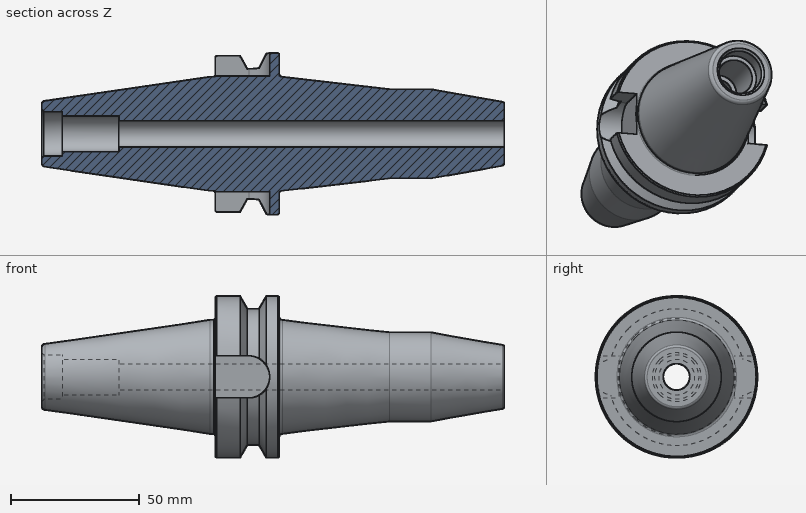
import cadquery as cq
import math

TOTAL_LENGTH = 179.8

TAPER_LENGTH = 65.4
GAUGE_DIAMETER = 44.45
TAPER_RATIO = 7 / 24
TAPER_END_ROUND = 1.5

FLANGE_DIAMETER = 63.0
FLANGE_GAP = 2.0
FLANGE_END_OFFSET = 27.0
FLANGE_END = TAPER_LENGTH + FLANGE_END_OFFSET
FLANGE_START = TAPER_LENGTH + FLANGE_GAP
FLANGE_CHAMFER = 0.6
GROOVE_CENTRE_OFFSET = 16.8
GROOVE_CENTRE = TAPER_LENGTH + GROOVE_CENTRE_OFFSET
GROOVE_MOUTH_WIDTH = 10.2
GROOVE_FLOOR_DIAMETER = 53.2
GROOVE_FLANK_ANGLE = 30.0
TAPER_SIDE_FILLET = 0.6
NOSE_SIDE_FILLET = 1.0

SLOT_WIDTH = 16.4
SLOT_FLOOR_OFFSET = 22.5
SLOT_LENGTH = 21.2

NOSE_ROOT_DIAMETER = 44.45
NOSE_DIAMETER = 34.8
NOSE_CYLINDER_START = 135.1
NOSE_CYLINDER_END = 151.1
NOSE_END_DIAMETER = 24.7
NOSE_END_ROUND = 1.0

THROUGH_DIAMETER = 10.16
THREAD_DIAMETER = 13.84
THREAD_DEPTH = 30.0
COUNTERBORE_DIAMETER = 17.15
COUNTERBORE_DEPTH = 8.0
MOUTH_DIAMETER = 19.0
MOUTH_ANGLE = 45.0


def make_body():
    """Revolve the outer profile: taper, flange with groove, and nose."""
    gauge_radius = GAUGE_DIAMETER / 2
    small_radius = gauge_radius - TAPER_LENGTH * TAPER_RATIO / 2
    flange_radius = FLANGE_DIAMETER / 2
    rim_radius = flange_radius - FLANGE_CHAMFER
    groove_radius = GROOVE_FLOOR_DIAMETER / 2
    mouth_half = GROOVE_MOUTH_WIDTH / 2
    flank_run = (flange_radius - groove_radius) * math.tan(math.radians(GROOVE_FLANK_ANGLE))
    floor_half = mouth_half - flank_run
    nose_root_radius = NOSE_ROOT_DIAMETER / 2
    profile = (
        cq.Workplane("XY")
        .lineTo(0, small_radius)
        .lineTo(TAPER_LENGTH, gauge_radius)
        .lineTo(FLANGE_START - TAPER_SIDE_FILLET, gauge_radius)
        .radiusArc((FLANGE_START, gauge_radius + TAPER_SIDE_FILLET), -TAPER_SIDE_FILLET)
        .lineTo(FLANGE_START, rim_radius)
        .lineTo(FLANGE_START + FLANGE_CHAMFER, flange_radius)
        .lineTo(GROOVE_CENTRE - mouth_half, flange_radius)
        .lineTo(GROOVE_CENTRE - floor_half, groove_radius)
        .lineTo(GROOVE_CENTRE + floor_half, groove_radius)
        .lineTo(GROOVE_CENTRE + mouth_half, flange_radius)
        .lineTo(FLANGE_END - FLANGE_CHAMFER, flange_radius)
        .lineTo(FLANGE_END, rim_radius)
        .lineTo(FLANGE_END, nose_root_radius + NOSE_SIDE_FILLET)
        .radiusArc((FLANGE_END + NOSE_SIDE_FILLET, nose_root_radius), -NOSE_SIDE_FILLET)
        .lineTo(NOSE_CYLINDER_START, NOSE_DIAMETER / 2)
        .lineTo(NOSE_CYLINDER_END, NOSE_DIAMETER / 2)
        .lineTo(TOTAL_LENGTH, NOSE_END_DIAMETER / 2)
        .lineTo(TOTAL_LENGTH, 0)
        .close()
    )
    body = profile.revolve(360, (0, 0, 0), (1, 0, 0))
    body = body.faces("<X").edges().fillet(TAPER_END_ROUND)
    return body.faces(">X").edges().fillet(NOSE_END_ROUND)


def make_drive_slots():
    """Two flat-floored cutters, open at the taper side and round at the other end."""
    slot_radius = SLOT_WIDTH / 2
    straight_length = SLOT_LENGTH - slot_radius
    arc_start_x = FLANGE_START + straight_length
    outline = (
        cq.Workplane("XZ")
        .moveTo(FLANGE_START, -slot_radius)
        .lineTo(arc_start_x, -slot_radius)
        .threePointArc((FLANGE_START + SLOT_LENGTH, 0), (arc_start_x, slot_radius))
        .lineTo(FLANGE_START, slot_radius)
        .close()
    )
    cutter = outline.extrude(FLANGE_DIAMETER / 2).translate((0, -SLOT_FLOOR_OFFSET, 0))
    return cutter.union(cutter.mirror("XZ"))


def make_bores():
    """Revolve the stepped bore that runs through the part from the taper end."""
    counterbore_radius = COUNTERBORE_DIAMETER / 2
    mouth_radius = MOUTH_DIAMETER / 2
    mouth_depth = (mouth_radius - counterbore_radius) / math.tan(math.radians(MOUTH_ANGLE))
    profile = (
        cq.Workplane("XY")
        .lineTo(0, mouth_radius)
        .lineTo(mouth_depth, counterbore_radius)
        .lineTo(COUNTERBORE_DEPTH, counterbore_radius)
        .lineTo(COUNTERBORE_DEPTH, THREAD_DIAMETER / 2)
        .lineTo(THREAD_DEPTH, THREAD_DIAMETER / 2)
        .lineTo(THREAD_DEPTH, THROUGH_DIAMETER / 2)
        .lineTo(TOTAL_LENGTH, THROUGH_DIAMETER / 2)
        .lineTo(TOTAL_LENGTH, 0)
        .close()
    )
    return profile.revolve(360, (0, 0, 0), (1, 0, 0))


result = make_body().cut(make_drive_slots()).cut(make_bores())